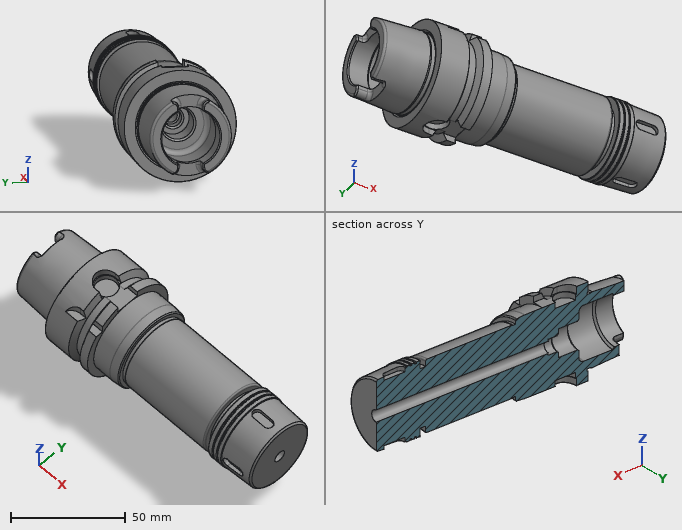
import cadquery as cq
import math


TAPER_TIP_RADIUS = 18.1
TAPER_BASE_RADIUS = 19.21
TAPER_BASE_X = 22.8
TIP_FILLET = 1.2
NECK_RADIUS = 18.8
NECK_X = 23.6
FACE_GROOVE_BOTTOM_X = 25.5
FACE_GROOVE_RADIUS = 20.08
FACE_GROOVE_BEVEL = 0.7

FLANGE_X = 25.0
FLANGE_END_X = 51.0
FLANGE_RADIUS = 25.01
GRIP_GROOVE_RADIUS = 21.6
GRIP_GROOVE_CENTER_X = 42.9
GRIP_GROOVE_BOTTOM_WIDTH = 3.5
GRIP_GROOVE_TOP_WIDTH = 7.1

COLLAR_RADIUS = 21.2
COLLAR_TAPER_X = 61.0
COLLAR_END_X = 66.1
COLLAR_END_RADIUS = 20.7
COLLAR_BEVEL = 0.6
RELIEF_RADIUS = 18.3
BODY_X = 67.9
BODY_END_X = 117.0
BODY_RADIUS = 18.5
BODY_FILLET = 0.9
NUT_NECK_RADIUS = 15.1

NUT_X = 119.9
NUT_END_X = 145.0
NUT_BAND_RADIUS = 19.21
NUT_BAND_END_X = 127.9
NUT_BAND_BEVEL = 0.3
NUT_SLEEVE_RADIUS = 18.8
NUT_TIP_RADIUS = 18.1
NUT_TIP_BEVEL = 0.9
NUT_GROOVES_X = (122.7, 125.3)
NUT_GROOVE_WIDTH = 0.9
NUT_GROOVE_DEPTH = 0.7
NUT_SLOT_COUNT = 4
NUT_SLOT_CENTER_X = 134.5
NUT_SLOT_LENGTH = 11.6
NUT_SLOT_WIDTH = 5.0
NUT_SLOT_FLOOR_RADIUS = 16.5

MOUTH_RADIUS = 12.98
MOUTH_BEVEL = 0.6
UNDERCUT_X = 10.2
UNDERCUT_RADIUS = 13.99
CAVITY_FLOOR_X = 30.0
CAVITY_FLOOR_FILLET = 2.5
THREAD_RADIUS = 8.0
THREAD_CORE_RADIUS = 7.1
THREAD_DEPTH = 11.6
COOLANT_STEP_RADIUS = 4.8
COOLANT_CORE_RADIUS = 3.9
COOLANT_STEP_DEPTH = 5.8
COOLANT_HOLE_RADIUS = 2.97

DRIVE_SLOT_HALF_WIDTH = 5.4
DRIVE_SLOT_INNER_Z = 6.5
DRIVE_SLOT_FLARE_RADIUS = 2.6
DRIVE_SLOT_FLARE_Z = 13.6
DRIVE_SLOT_OUTER_HALF_WIDTH = 10.9
DRIVE_SLOT_TOP_DEPTH = 4.6
DRIVE_SLOT_BOTTOM_DEPTH = 7.2
DRIVE_SLOT_FILLET = 1.7
DRIVE_SLOT_BEVEL = 0.7

CUTTER_RADIUS = 6.0
CUTTER_STOP_X = 37.5
KEY_SLOT_FLOOR_Z = 21.2
KEY_POCKET_FLOOR_Z = 18.3
KEY_POCKET_RADIUS = 5.7
KEY_POCKET_X = 37.8
NOTCH_OFFSET = 15.7


def revolve_about_x(points):
    """Solid of revolution about X from (x, radius) points that start and end on the axis."""
    return cq.Workplane("XY").polyline(points).close().revolve(360, (0, 0, 0), (1, 0, 0))


def grooved_ring(center_x, bottom_width, top_width, bottom_radius, top_radius):
    """Outline points of a groove with straight or sloping sides, from left to right."""
    return [
        (center_x - top_width / 2, top_radius),
        (center_x - bottom_width / 2, bottom_radius),
        (center_x + bottom_width / 2, bottom_radius),
        (center_x + top_width / 2, top_radius),
    ]


def make_turned_body():
    """Outside of the holder and nut, with the taper tip and the body end rounded."""
    points = [
        (0, 0),
        (0, TAPER_TIP_RADIUS),
        (TAPER_BASE_X, TAPER_BASE_RADIUS),
        (NECK_X, NECK_RADIUS),
        (FACE_GROOVE_BOTTOM_X, NECK_RADIUS),
        (FACE_GROOVE_BOTTOM_X, FACE_GROOVE_RADIUS - FACE_GROOVE_BEVEL),
        (FLANGE_X, FACE_GROOVE_RADIUS),
        (FLANGE_X, FLANGE_RADIUS),
    ]
    points += grooved_ring(
        GRIP_GROOVE_CENTER_X,
        GRIP_GROOVE_BOTTOM_WIDTH,
        GRIP_GROOVE_TOP_WIDTH,
        GRIP_GROOVE_RADIUS,
        FLANGE_RADIUS,
    )
    points += [
        (FLANGE_END_X, FLANGE_RADIUS),
        (FLANGE_END_X, COLLAR_RADIUS),
        (COLLAR_TAPER_X, COLLAR_RADIUS),
        (COLLAR_END_X - COLLAR_BEVEL, COLLAR_END_RADIUS),
        (COLLAR_END_X, COLLAR_END_RADIUS - COLLAR_BEVEL),
        (COLLAR_END_X, RELIEF_RADIUS),
        (BODY_X, RELIEF_RADIUS),
        (BODY_X, BODY_RADIUS),
        (BODY_END_X, BODY_RADIUS),
        (BODY_END_X, NUT_NECK_RADIUS),
        (NUT_X, NUT_NECK_RADIUS),
        (NUT_X, NUT_BAND_RADIUS - NUT_BAND_BEVEL),
        (NUT_X + NUT_BAND_BEVEL, NUT_BAND_RADIUS),
    ]
    groove_radius = NUT_BAND_RADIUS - NUT_GROOVE_DEPTH
    for groove_x in NUT_GROOVES_X:
        points += grooved_ring(groove_x, NUT_GROOVE_WIDTH, NUT_GROOVE_WIDTH, groove_radius, NUT_BAND_RADIUS)
    points += [
        (NUT_BAND_END_X - NUT_BAND_BEVEL, NUT_BAND_RADIUS),
        (NUT_BAND_END_X, NUT_SLEEVE_RADIUS),
        (NUT_END_X - NUT_TIP_BEVEL, NUT_TIP_RADIUS),
        (NUT_END_X, NUT_TIP_RADIUS - NUT_TIP_BEVEL),
        (NUT_END_X, 0),
    ]
    margin = 0.1
    body_end_edges = cq.selectors.BoxSelector(
        (BODY_END_X - margin, -BODY_RADIUS - margin, -BODY_RADIUS - margin),
        (BODY_END_X + margin, BODY_RADIUS + margin, BODY_RADIUS + margin),
        boundingbox=True,
    )
    largest_circle = cq.selectors.RadiusNthSelector(-1)
    turned_body = revolve_about_x(points)
    turned_body = turned_body.faces("<X").edges("%CIRCLE").fillet(TIP_FILLET)
    return turned_body.edges(body_end_edges).edges(largest_circle).fillet(BODY_FILLET)


def make_bore():
    """Stepped bore: clamping cavity with a rounded floor edge, threaded seat, coolant hole."""
    undercut_step = UNDERCUT_RADIUS - MOUTH_RADIUS
    thread_end_x = CAVITY_FLOOR_X + THREAD_DEPTH
    thread_bevel = THREAD_RADIUS - THREAD_CORE_RADIUS
    coolant_end_x = thread_end_x + COOLANT_STEP_DEPTH
    coolant_bevel = COOLANT_STEP_RADIUS - COOLANT_CORE_RADIUS
    fillet_swing = CAVITY_FLOOR_FILLET * math.sqrt(0.5)
    fillet_center = (CAVITY_FLOOR_X - CAVITY_FLOOR_FILLET, UNDERCUT_RADIUS - CAVITY_FLOOR_FILLET)
    return (
        cq.Workplane("XY")
        .moveTo(0, 0)
        .lineTo(0, MOUTH_RADIUS + MOUTH_BEVEL)
        .lineTo(MOUTH_BEVEL, MOUTH_RADIUS)
        .lineTo(UNDERCUT_X, MOUTH_RADIUS)
        .lineTo(UNDERCUT_X + undercut_step, UNDERCUT_RADIUS)
        .lineTo(fillet_center[0], UNDERCUT_RADIUS)
        .threePointArc(
            (fillet_center[0] + fillet_swing, fillet_center[1] + fillet_swing),
            (CAVITY_FLOOR_X, fillet_center[1]),
        )
        .lineTo(CAVITY_FLOOR_X, THREAD_RADIUS)
        .lineTo(CAVITY_FLOOR_X + thread_bevel, THREAD_CORE_RADIUS)
        .lineTo(thread_end_x, THREAD_CORE_RADIUS)
        .lineTo(thread_end_x, COOLANT_STEP_RADIUS)
        .lineTo(thread_end_x + coolant_bevel, COOLANT_CORE_RADIUS)
        .lineTo(coolant_end_x, COOLANT_CORE_RADIUS)
        .lineTo(coolant_end_x, COOLANT_HOLE_RADIUS)
        .lineTo(NUT_END_X, COOLANT_HOLE_RADIUS)
        .lineTo(NUT_END_X, 0)
        .close()
        .revolve(360, (0, 0, 0), (1, 0, 0))
    )


def drive_slot_outline(x, widening):
    """Outline of the +Z drive slot at x: straight walls that flare outward near the taper surface."""
    half_width = DRIVE_SLOT_HALF_WIDTH + widening
    flare_radius = DRIVE_SLOT_FLARE_RADIUS - widening
    flare_center_y = half_width + flare_radius
    flare_top_z = DRIVE_SLOT_FLARE_Z + flare_radius
    swing = flare_radius * math.sqrt(0.5)
    middle_y = flare_center_y - swing
    middle_z = DRIVE_SLOT_FLARE_Z + swing
    return (
        cq.Workplane("YZ", origin=(x, 0, 0))
        .moveTo(-half_width, DRIVE_SLOT_INNER_Z)
        .lineTo(half_width, DRIVE_SLOT_INNER_Z)
        .lineTo(half_width, DRIVE_SLOT_FLARE_Z)
        .threePointArc((middle_y, middle_z), (flare_center_y, flare_top_z))
        .lineTo(DRIVE_SLOT_OUTER_HALF_WIDTH, flare_top_z)
        .lineTo(DRIVE_SLOT_OUTER_HALF_WIDTH, FLANGE_RADIUS)
        .lineTo(-DRIVE_SLOT_OUTER_HALF_WIDTH, FLANGE_RADIUS)
        .lineTo(-DRIVE_SLOT_OUTER_HALF_WIDTH, flare_top_z)
        .lineTo(-flare_center_y, flare_top_z)
        .threePointArc((-middle_y, middle_z), (-half_width, DRIVE_SLOT_FLARE_Z))
        .close()
    )


def make_drive_slot(depth):
    """Cutter for the +Z drive slot, with filleted floor edges and a bevelled entry."""
    floor_edges = cq.selectors.BoxSelector(
        (depth / 2, -FLANGE_RADIUS, DRIVE_SLOT_FLARE_Z / 2),
        (depth * 2, FLANGE_RADIUS, DRIVE_SLOT_FLARE_Z + DRIVE_SLOT_FLARE_RADIUS),
    )
    slot = drive_slot_outline(0, 0).extrude(depth).edges(floor_edges).fillet(DRIVE_SLOT_FILLET)
    wide_end = drive_slot_outline(0, DRIVE_SLOT_BEVEL).wire().val()
    narrow_end = drive_slot_outline(DRIVE_SLOT_BEVEL, 0).wire().val()
    entry = cq.Solid.makeLoft([wide_end, narrow_end], True)
    return slot.union(cq.Workplane(entry))


def make_key_slot():
    """Cutter for the +Z key slot, open toward +X, with a deeper round pocket at its blind end."""
    slot_height = FLANGE_RADIUS - KEY_SLOT_FLOOR_Z
    run_length = FLANGE_END_X - CUTTER_STOP_X
    plane = cq.Workplane("XY", origin=(CUTTER_STOP_X, 0, KEY_SLOT_FLOOR_Z))
    run = plane.center(run_length / 2, 0).rect(run_length, 2 * CUTTER_RADIUS).extrude(slot_height)
    blind_end = plane.circle(CUTTER_RADIUS).extrude(slot_height)
    pocket = (
        cq.Workplane("XY", origin=(KEY_POCKET_X, 0, KEY_POCKET_FLOOR_Z))
        .circle(KEY_POCKET_RADIUS)
        .extrude(FLANGE_RADIUS - KEY_POCKET_FLOOR_Z)
    )
    return run.union(blind_end).union(pocket)


def make_notch():
    """Cutter for the side notch: floor facing +Z, wall facing -Y, blind end round, open toward +X."""
    notch_y = -NOTCH_OFFSET - CUTTER_RADIUS
    run_length = FLANGE_END_X - CUTTER_STOP_X
    plane = cq.Workplane("XY", origin=(CUTTER_STOP_X, notch_y, NOTCH_OFFSET))
    run = plane.center(run_length / 2, 0).rect(run_length, 2 * CUTTER_RADIUS).extrude(FLANGE_RADIUS)
    return run.union(plane.circle(CUTTER_RADIUS).extrude(FLANGE_RADIUS))


def make_nut_slot():
    """Cutter for the +Z spanner slot of the nut."""
    return (
        cq.Workplane("XY", origin=(NUT_SLOT_CENTER_X, 0, NUT_SLOT_FLOOR_RADIUS))
        .slot2D(NUT_SLOT_LENGTH, NUT_SLOT_WIDTH)
        .extrude(NUT_BAND_RADIUS)
    )


def turned(shape, angle):
    """Shape turned about the X axis by an angle in degrees."""
    return shape.rotate((0, 0, 0), (1, 0, 0), angle)


result = make_turned_body().cut(make_bore())
result = result.cut(make_drive_slot(DRIVE_SLOT_TOP_DEPTH))
result = result.cut(turned(make_drive_slot(DRIVE_SLOT_BOTTOM_DEPTH), 180))
for key_angle in (0, 180):
    result = result.cut(turned(make_key_slot(), key_angle))
result = result.cut(make_notch())
for index in range(NUT_SLOT_COUNT):
    result = result.cut(turned(make_nut_slot(), index * 360 / NUT_SLOT_COUNT))